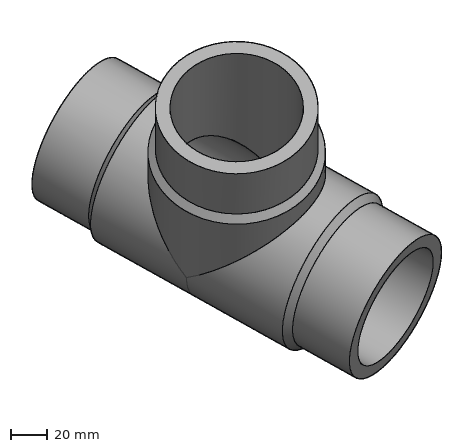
import cadquery as cq

run_length = 213.0
body_diameter = 98.2
spigot_diameter = 90.0
bore_diameter = 73.7
overall_height = 154.0
spigot_length = 38.1

body_radius = body_diameter / 2
spigot_radius = spigot_diameter / 2
bore_radius = bore_diameter / 2
branch_height = overall_height - body_radius
chamfer_length = body_radius - spigot_radius


def make_run():
    """Solid run along X: thick body with a chamfered shoulder and spigot at each end."""
    body_length = run_length - 2 * spigot_length
    body = (
        cq.Workplane("YZ")
        .circle(body_radius)
        .extrude(body_length / 2, both=True)
        .faces("<X or >X")
        .chamfer(chamfer_length)
    )
    spigots = cq.Workplane("YZ").circle(spigot_radius).extrude(run_length / 2, both=True)
    return body.union(spigots)


def make_branch():
    """Solid branch from the run axis up +Z: thick body, chamfered shoulder, spigot."""
    body = (
        cq.Workplane("XY")
        .circle(body_radius)
        .extrude(branch_height - spigot_length)
        .faces(">Z")
        .chamfer(chamfer_length)
    )
    spigot = cq.Workplane("XY").circle(spigot_radius).extrude(branch_height)
    return body.union(spigot)


run_bore = cq.Workplane("YZ").circle(bore_radius).extrude(run_length / 2, both=True)
branch_bore = cq.Workplane("XY").circle(bore_radius).extrude(branch_height)

outer = make_run().union(make_branch())
result = outer.cut(run_bore).cut(branch_bore).clean()